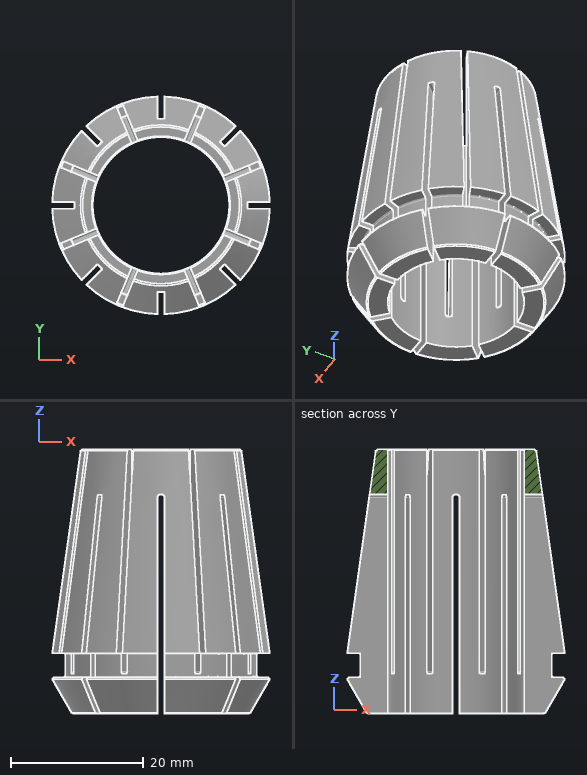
import cadquery as cq
import math

height = 40.0
max_radius = 16.5
bore_radius = 20.65 / 2

nose_angle = 30.0
nose_height = 5.2
flange_bevel = 0.3
flange_top = nose_height + flange_bevel

groove_radius = 14.5
groove_top = 9.1
groove_fillet = 0.15
taper_angle = 8.0

rim_bevel = 0.3
bore_bevel = 0.15
base_bevel = 0.15

slot_count = 8
slot_width = 1.0
slot_corner_radius = 0.4
lower_slot_top = 33.1
upper_slot_bottom = 6.0


def sleeve_body():
    """Hollow tapered sleeve: revolved half section about Z."""
    base_radius = max_radius - nose_height * math.tan(math.radians(nose_angle))
    top_radius = max_radius - (height - groove_top) * math.tan(math.radians(taper_angle))
    rim_slope = rim_bevel * math.tan(math.radians(taper_angle))
    return (
        cq.Workplane("XZ")
        .moveTo(bore_radius, 0)
        .lineTo(base_radius - base_bevel, 0)
        .lineTo(base_radius + base_bevel * math.tan(math.radians(nose_angle)), base_bevel)
        .lineTo(max_radius, nose_height)
        .lineTo(max_radius - flange_bevel, flange_top)
        .lineTo(groove_radius + groove_fillet, flange_top)
        .radiusArc((groove_radius, flange_top + groove_fillet), groove_fillet)
        .lineTo(groove_radius, groove_top - groove_fillet)
        .radiusArc((groove_radius + groove_fillet, groove_top), groove_fillet)
        .lineTo(max_radius, groove_top)
        .lineTo(top_radius + rim_slope, height - rim_bevel)
        .lineTo(top_radius - rim_bevel, height)
        .lineTo(bore_radius + bore_bevel, height)
        .lineTo(bore_radius, height - bore_bevel)
        .close()
        .revolve(360, (0, 0), (0, 1))
    )


def slot_cutter(z_bottom, z_top, rounded_end, angle):
    """Radial slot blade with rounded corners along its closed end."""
    return (
        cq.Workplane("XY")
        .box(
            max_radius + slot_width,
            slot_width,
            z_top - z_bottom,
            centered=(False, True, False),
        )
        .faces(rounded_end)
        .edges("|X")
        .fillet(slot_corner_radius)
        .translate((0, 0, z_bottom))
        .rotate((0, 0, 0), (0, 0, 1), angle)
    )


result = sleeve_body()

slot_pitch = 360 / slot_count
for index in range(slot_count):
    lower_angle = index * slot_pitch
    upper_angle = lower_angle + slot_pitch / 2
    result = result.cut(slot_cutter(0, lower_slot_top, ">Z", lower_angle))
    result = result.cut(slot_cutter(upper_slot_bottom, height, "<Z", upper_angle))